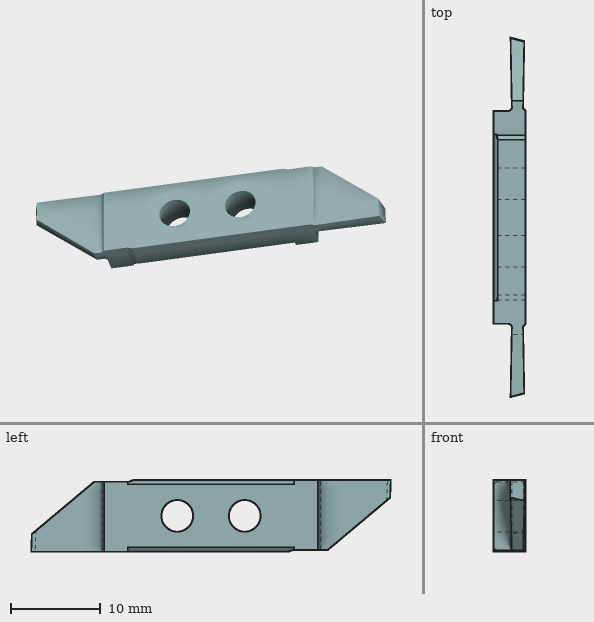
import cadquery as cq
import math


THICKNESS = 3.6
HEIGHT = 8.0
BODY_LENGTH = 23.7
END_STEP = 0.2
RAMP_START = 9.15
RAMP_ANGLE = 20.0
EDGE_CHAMFER = 0.5
EDGE_CHAMFER_LENGTH = 18.5
HOLE_DIAMETER = 3.5
HOLE_SPACING = 7.5

TOTAL_LENGTH = 40.0
TIP_LEFT = 1.905
TIP_RIGHT = 3.46
TIP_HEIGHT = 1.97
TIP_SKEW_ANGLE = 15.0
TIP_CLEARANCE_ANGLE = 2.0
SIDE_TAPER_ANGLE = 1.0
UNDERSIDE_ANGLE = 40.0

GROOVE_RADIUS = 0.4
GROOVE_X = 1.66

HALF_HEIGHT = HEIGHT / 2
STEP_Z = HALF_HEIGHT - END_STEP
SHOULDER_Y = BODY_LENGTH / 2
TIP_Y = TOTAL_LENGTH / 2
GROOVE_Y = SHOULDER_Y + GROOVE_RADIUS


def slope(angle):
    """Rise per unit length at an angle in degrees."""
    return math.tan(math.radians(angle))


def half_turn(solid):
    """Turn a -Y end feature onto the +Y end."""
    return solid.rotate((0, 0, 0), (1, 0, 0), 180)


def blade_left(y):
    """X of the blade's left side at a distance y from the centre."""
    return TIP_LEFT + (TIP_Y - y) * slope(SIDE_TAPER_ANGLE)


def blade_right(y):
    """X of the blade's right side at a distance y from the centre."""
    return TIP_RIGHT - (TIP_Y - y) * slope(SIDE_TAPER_ANGLE)


def blade_outline(z):
    """Corners of the -Y blade in the horizontal plane at height z."""
    tip_left_y = TIP_Y - (HALF_HEIGHT - z) * slope(TIP_CLEARANCE_ANGLE)
    tip_right_y = tip_left_y - (TIP_RIGHT - TIP_LEFT) * slope(TIP_SKEW_ANGLE)
    return [
        (blade_left(SHOULDER_Y), -SHOULDER_Y),
        (blade_left(tip_left_y), -tip_left_y),
        (blade_right(tip_right_y), -tip_right_y),
        (blade_right(SHOULDER_Y), -SHOULDER_Y),
    ]


def make_blade():
    """Blade on the -Y end, widest at its tip, with a sloping underside."""
    blade = (
        cq.Workplane("XY", origin=(0, 0, -STEP_Z)).polyline(blade_outline(-STEP_Z)).close()
        .workplane(offset=HALF_HEIGHT + STEP_Z).polyline(blade_outline(HALF_HEIGHT)).close()
        .loft(ruled=True)
    )
    tip_z = HALF_HEIGHT - TIP_HEIGHT
    lower_tip_y = TIP_Y - TIP_HEIGHT * slope(TIP_CLEARANCE_ANGLE)
    knee_y = lower_tip_y - (tip_z + STEP_Z) / slope(UNDERSIDE_ANGLE)
    outer_z = tip_z + (TIP_Y - lower_tip_y) * slope(UNDERSIDE_ANGLE)
    underside = (
        cq.Workplane("YZ")
        .polyline([(-knee_y, -STEP_Z), (-TIP_Y, outer_z), (-TIP_Y, -STEP_Z)]).close()
        .extrude(THICKNESS)
    )
    return blade.cut(underside)


def make_root():
    """Material joining the -Y blade to the shoulder, with a 45 degree corner."""
    root_right = blade_right(GROOVE_Y)
    corner = THICKNESS - root_right
    return (
        cq.Workplane("XY", origin=(0, 0, -STEP_Z))
        .moveTo(GROOVE_X, -SHOULDER_Y)
        .lineTo(GROOVE_X, -GROOVE_Y)
        .lineTo(root_right, -GROOVE_Y)
        .lineTo(root_right, -SHOULDER_Y - corner)
        .lineTo(THICKNESS, -SHOULDER_Y)
        .close()
        .extrude(HALF_HEIGHT + STEP_Z)
    )


def make_groove():
    """Round relief groove in the corner between shoulder and blade."""
    return (
        cq.Workplane("XY", origin=(GROOVE_X, -GROOVE_Y, -HALF_HEIGHT))
        .circle(GROOVE_RADIUS).extrude(HEIGHT)
    )


def make_end():
    """Complete -Y blade with its root and relief groove."""
    return make_blade().union(make_root()).cut(make_groove())


def make_end_step():
    """Shallow ramped step under the -Y end of the body."""
    ramp_top = RAMP_START - END_STEP / slope(RAMP_ANGLE)
    return (
        cq.Workplane("YZ")
        .polyline([
            (-SHOULDER_Y, -HALF_HEIGHT),
            (-SHOULDER_Y, -STEP_Z),
            (-RAMP_START, -STEP_Z),
            (-ramp_top, -HALF_HEIGHT),
        ]).close()
        .extrude(THICKNESS)
    )


def make_edge_chamfer():
    """Wedge along the lower long edge of the X = 0 face."""
    return (
        cq.Workplane("XZ", origin=(0, EDGE_CHAMFER_LENGTH / 2, 0))
        .polyline([
            (0, -HALF_HEIGHT),
            (EDGE_CHAMFER, -HALF_HEIGHT),
            (0, -HALF_HEIGHT + EDGE_CHAMFER),
        ]).close()
        .extrude(EDGE_CHAMFER_LENGTH)
    )


def make_holes():
    """Two mounting holes through the thickness."""
    return (
        cq.Workplane("YZ")
        .pushPoints([(-HOLE_SPACING / 2, 0), (HOLE_SPACING / 2, 0)])
        .circle(HOLE_DIAMETER / 2).extrude(THICKNESS)
    )


body = cq.Workplane("XY").box(THICKNESS, BODY_LENGTH, HEIGHT, centered=(False, True, True))
for cutter in (make_end_step(), make_edge_chamfer()):
    body = body.cut(cutter).cut(half_turn(cutter))
body = body.cut(make_holes())

end = make_end()
result = body.union(end).union(half_turn(end)).translate((-THICKNESS / 2, 0, 0))